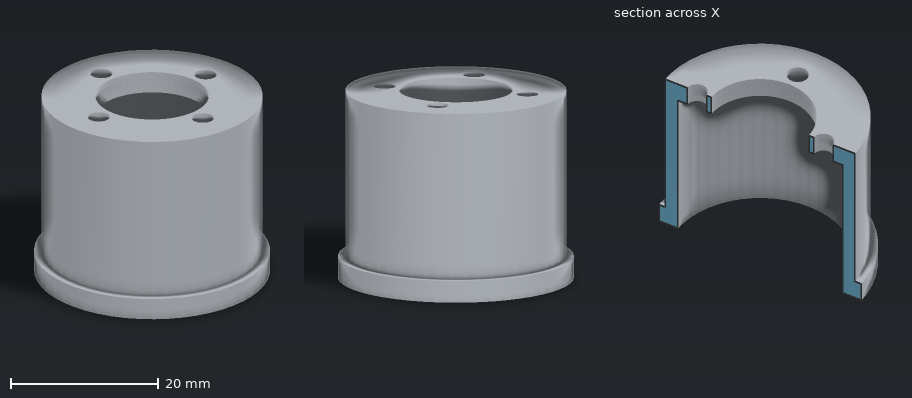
import cadquery as cq

flange_diameter = 32.0
total_height = 26.0
flange_thickness = 3.0
body_diameter = 30.0

opening_diameter = 15.4
end_wall_thickness = 3.0
cavity_diameter = 26.0

screw_hole_diameter = 3.0
screw_circle_radius = 10.0
screw_hole_count = 4

flange = cq.Workplane("XY").circle(flange_diameter / 2).extrude(flange_thickness)
body = cq.Workplane("XY").circle(body_diameter / 2).extrude(total_height)

cavity = cq.Workplane("XY").circle(cavity_diameter / 2).extrude(total_height - end_wall_thickness)

opening = cq.Workplane("XY").circle(opening_diameter / 2).extrude(total_height)
screw_holes = (
    cq.Workplane("XY")
    .polarArray(screw_circle_radius, 0, 360, screw_hole_count)
    .circle(screw_hole_diameter / 2)
    .extrude(total_height)
)

result = flange.union(body).cut(cavity).cut(opening).cut(screw_holes)